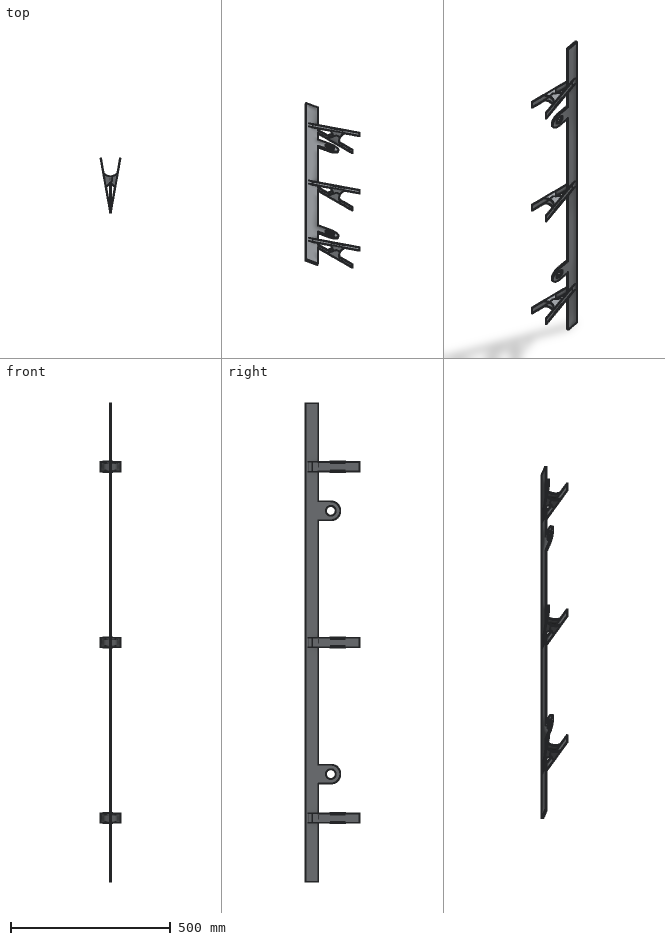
import cadquery as cq
import math

bar_length = 1500.0
bar_width = 40.0
bar_thickness = 6.0

ear_radius = 30.0
ear_hole_diameter = 30.0
ear_centre_y = 80.0
ear_offset_z = 412.0

bracket_offset_z = 550.0
bracket_height = 30.0
arm_thickness = 2.2
arm_root_y = 9.0
arm_tip_y = 170.0
bracket_width = 63.0

right_plate_thickness = 5.0
left_plate_thickness = 6.0
plate_front_y = 78.0
plate_rim_y = 125.0
plate_overlap = 6.0
plate_overlap_y = 100.0
saddle_bottom_y = 114.0

arm_root_x = bar_thickness / 2
arm_tip_x = bracket_width / 2
arm_angle = math.atan2(arm_tip_x - arm_root_x, arm_tip_y - arm_root_y)
arm_thickness_x = arm_thickness * math.cos(arm_angle)
arm_thickness_y = arm_thickness * math.sin(arm_angle)

LEFT, RIGHT = -1, 1


def arm_middle_x(y):
    """Distance from the YZ plane to the middle of an arm's thickness."""
    return arm_root_x + (y - arm_root_y) * math.tan(arm_angle) - arm_thickness_x / 2


plate_rim_x = arm_middle_x(plate_rim_y)
saddle_rise = plate_rim_y - saddle_bottom_y
saddle_radius = (plate_rim_x**2 + saddle_rise**2) / (2 * saddle_rise)


def saddle_y(x):
    return saddle_bottom_y + saddle_radius - math.sqrt(saddle_radius**2 - x**2)


def make_bar():
    return cq.Workplane("XY").box(bar_thickness, bar_width, bar_length).translate((0, bar_width / 2, 0))


def make_ear(z):
    neck_start_y = bar_width / 2
    profile = (
        cq.Workplane("YZ", origin=(-bar_thickness / 2, 0, z))
        .moveTo(neck_start_y, -ear_radius)
        .lineTo(ear_centre_y, -ear_radius)
        .threePointArc((ear_centre_y + ear_radius, 0), (ear_centre_y, ear_radius))
        .lineTo(neck_start_y, ear_radius)
        .close()
    )
    hole = (
        cq.Workplane("YZ", origin=(-bar_thickness / 2, ear_centre_y, z))
        .circle(ear_hole_diameter / 2)
        .extrude(bar_thickness)
    )
    return profile.extrude(bar_thickness).cut(hole)


def make_arm(side, z):
    """Straight strip with ends square to its length; its root runs into the bar."""
    corners = [
        (arm_root_x, arm_root_y),
        (arm_tip_x, arm_tip_y - arm_thickness_y),
        (arm_tip_x - arm_thickness_x, arm_tip_y),
        (arm_root_x - arm_thickness_x, arm_root_y + arm_thickness_y),
    ]
    return (
        cq.Workplane("XY", origin=(0, 0, z - bracket_height / 2))
        .polyline([(side * x, y) for x, y in corners])
        .close()
        .extrude(bracket_height)
    )


def make_plate(side, bottom_z, thickness):
    """Saddle plate held by one arm and reaching just past the middle."""
    arc_middle_x = (plate_rim_x - plate_overlap) / 2
    return (
        cq.Workplane("XY", origin=(0, 0, bottom_z))
        .moveTo(side * arm_middle_x(plate_front_y), plate_front_y)
        .lineTo(-side * plate_overlap, plate_overlap_y)
        .lineTo(-side * plate_overlap, saddle_y(plate_overlap))
        .threePointArc((side * arc_middle_x, saddle_y(arc_middle_x)), (side * plate_rim_x, plate_rim_y))
        .close()
        .extrude(thickness)
    )


def make_bracket(z):
    bracket = make_arm(LEFT, z).union(make_arm(RIGHT, z))
    plate_inner_z = bracket_height / 2 - right_plate_thickness
    for side, thickness in ((RIGHT, right_plate_thickness), (LEFT, left_plate_thickness)):
        top_plate = make_plate(side, z + plate_inner_z, thickness)
        bottom_plate = make_plate(side, z - plate_inner_z - thickness, thickness)
        bracket = bracket.union(top_plate).union(bottom_plate)
    return bracket


result = make_bar()
for ear_z in (-ear_offset_z, ear_offset_z):
    result = result.union(make_ear(ear_z))
for bracket_z in (-bracket_offset_z, 0, bracket_offset_z):
    result = result.union(make_bracket(bracket_z))